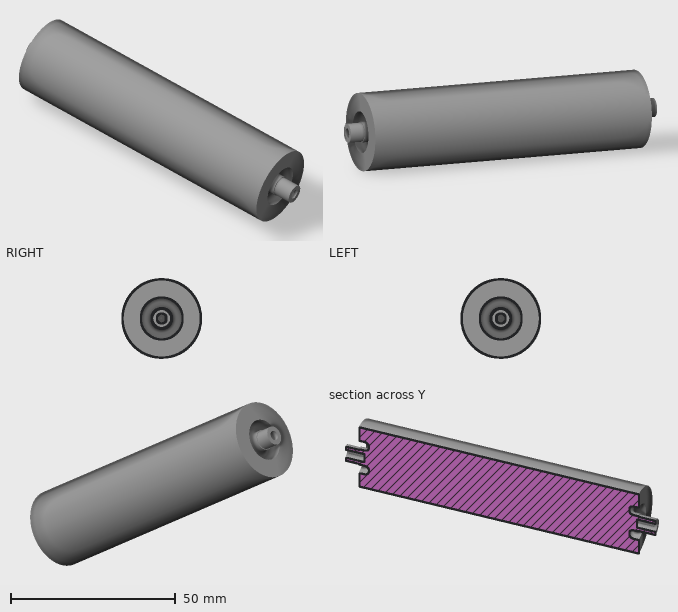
import cadquery as cq
import math

shaft_length = 100.2
shaft_diameter = 5.8
body_diameter = 23.8
left_shaft_reach = 4.3
right_shaft_reach = 5.4

recess_diameter = 12.7
recess_depth = 3.1
floor_outer_diameter = 10.0
floor_inner_diameter = 8.8
hub_diameter = 6.3
hub_setback = 0.1

hole_diameter = 3.0
hole_depth = 6.0
mouth_depth = 0.8
flat_offset = 1.2

left_end = -shaft_length / 2
right_end = shaft_length / 2
body_left = left_end + left_shaft_reach
body_right = right_end - right_shaft_reach


def cylinder(diameter, start, end):
    """Solid round bar on the X axis between two X positions."""
    return cq.Workplane("YZ", origin=(start, 0, 0)).circle(diameter / 2).extrude(end - start)


def recess(face, inward):
    """Recess cut from an end face; inward is +1 or -1 along X, into the body."""
    wall_radius = recess_diameter / 2
    hub_radius = hub_diameter / 2
    wall_fillet = wall_radius - floor_outer_diameter / 2
    hub_fillet = floor_inner_diameter / 2 - hub_radius
    arc_rise = 1 - math.sqrt(0.5)

    def point(depth, radius):
        return (face + inward * depth, radius)

    profile = (
        cq.Workplane("XY")
        .moveTo(*point(0, 0))
        .lineTo(*point(0, wall_radius))
        .lineTo(*point(recess_depth - wall_fillet, wall_radius))
        .threePointArc(
            point(recess_depth - wall_fillet * arc_rise, wall_radius - wall_fillet * arc_rise),
            point(recess_depth, floor_outer_diameter / 2),
        )
        .lineTo(*point(recess_depth, floor_inner_diameter / 2))
        .threePointArc(
            point(recess_depth - hub_fillet * arc_rise, hub_radius + hub_fillet * arc_rise),
            point(recess_depth - hub_fillet, hub_radius),
        )
        .lineTo(*point(hub_setback, hub_radius))
        .lineTo(*point(hub_setback, 0))
        .close()
    )
    return profile.revolve(360, (0, 0, 0), (1, 0, 0))


def shaft_hole(face, inward):
    """Blind D-shaped hole with a round mouth; inward is +1 or -1 along X, into the shaft."""
    hole = cylinder(hole_diameter, face, face + inward * hole_depth)
    key_centre = face + inward * (mouth_depth + hole_depth) / 2
    key = cq.Workplane("XY", origin=(key_centre, flat_offset, 0)).box(
        hole_depth - mouth_depth, hole_diameter, hole_diameter, centered=(True, False, True)
    )
    return hole.cut(key)


body = cylinder(body_diameter, body_left, body_right)
body = body.cut(recess(body_left, 1)).cut(recess(body_right, -1))

result = body.union(cylinder(shaft_diameter, left_end, right_end))
result = result.cut(shaft_hole(left_end, 1)).cut(shaft_hole(right_end, -1))